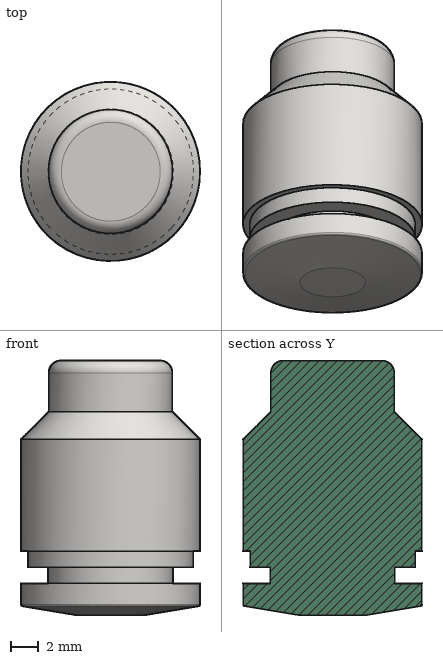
import cadquery as cq

total_height = 18.5
body_radius = 13.0 / 2
neck_radius = 9.0 / 2
shoulder_radius = 12.0 / 2
groove_radius = 9.1 / 2
base_flat_radius = 4.75 / 2

base_taper_height = 0.68
flange_top = 2.33
groove_top = 3.5
body_bottom = 4.66
cone_bottom = 12.78

base_edge_radius = 0.17
top_edge_radius = 0.9

cone_top = cone_bottom + body_radius - neck_radius

profile = (
    cq.Workplane("XZ")
    .moveTo(0, 0)
    .lineTo(base_flat_radius, 0)
    .lineTo(body_radius, base_taper_height)
    .lineTo(body_radius, flange_top)
    .lineTo(groove_radius, flange_top)
    .lineTo(groove_radius, groove_top)
    .lineTo(shoulder_radius, groove_top)
    .lineTo(shoulder_radius, body_bottom)
    .lineTo(body_radius, body_bottom)
    .lineTo(body_radius, cone_bottom)
    .lineTo(neck_radius, cone_top)
    .lineTo(neck_radius, total_height)
    .lineTo(0, total_height)
    .close()
)
body = profile.revolve(360, (0, 0), (0, 1))

body = body.faces(">Z").edges().fillet(top_edge_radius)
base_rim = cq.selectors.BoxSelector(
    (-total_height, -total_height, base_taper_height / 2),
    (total_height, total_height, flange_top / 2),
)
result = body.edges(base_rim).fillet(base_edge_radius)